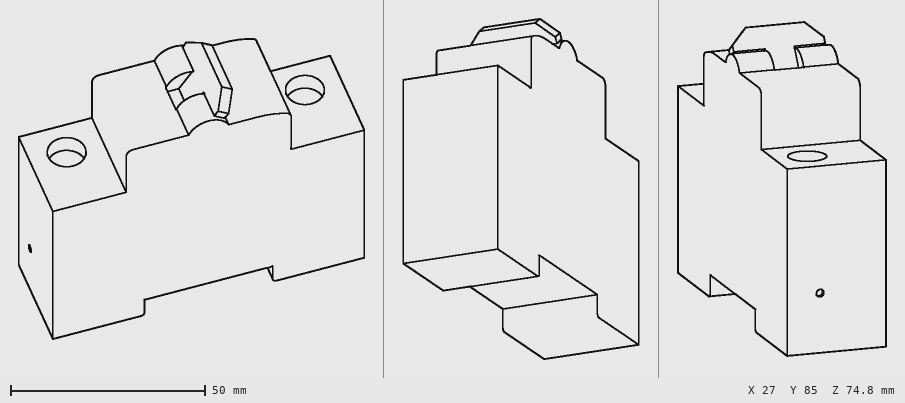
import cadquery as cq
import math

WIDTH = 27.0
LENGTH = 85.0
SHOULDER_HEIGHT = 50.0
NOSE_LENGTH = 45.0
NOSE_HEIGHT = 66.0
FRONT_FILLET = 2.0
REAR_FILLET = 1.75
CROWN_RADIUS = 20.0
CROWN_START_Y = 13.7

NOTCH_LENGTH = 35.0
NOTCH_DEPTH = 6.0
NOTCH_MOUTH_FILLET = 1.0

HOLE_X = -WIDTH / 2 + 9.0
SCREW_DIAMETER = 10.0
SCREW_DEPTH = 5.0
SCREW_END_DISTANCE = 10.0
PIN_DIAMETER = 2.0
PIN_DEPTH = 1.0
PIN_HEIGHT = 16.0

HUB_RADIUS = 6.0
HUB_RISE = 3.5
HUB_Z = NOSE_HEIGHT + HUB_RISE - HUB_RADIUS

OVERALL_HEIGHT = 74.83
LEVER_TILT = 35.0
LEVER_THICKNESS = 3.5
LEVER_FRONT_OFFSET = 2.0
STEM_WIDTH = 8.0
PADDLE_WIDTH = 25.0
PADDLE_LENGTH = 6.3
PADDLE_CHAMFER = 4.5
TILT = math.radians(LEVER_TILT)
LEVER_REACH = (OVERALL_HEIGHT - HUB_Z - LEVER_FRONT_OFFSET * math.sin(TILT)) / math.cos(TILT)

SLOT_FLOOR_Z = 64.0
SLOT_OVERRUN = 0.25
HUB_HALF_CHORD = math.sqrt(HUB_RADIUS**2 - (NOSE_HEIGHT - HUB_Z) ** 2)
SLOT_FRONT_Y = -HUB_HALF_CHORD - SLOT_OVERRUN


def side_extrusion(profile):
    """Extrude a closed (Y, Z) profile across the full width."""
    return profile.extrude(WIDTH / 2, both=True)


def make_housing():
    half_length = LENGTH / 2
    half_nose = NOSE_LENGTH / 2

    crown_z = NOSE_HEIGHT - CROWN_RADIUS
    center_gap = CROWN_RADIUS - REAR_FILLET
    fillet_y = half_nose - REAR_FILLET
    crown_angle = math.asin((fillet_y - CROWN_START_Y) / center_gap)
    fillet_z = crown_z + center_gap * math.cos(crown_angle)

    def crown_point(angle):
        return (CROWN_START_Y + CROWN_RADIUS * math.sin(angle), crown_z + CROWN_RADIUS * math.cos(angle))

    middle_angle = (crown_angle + math.pi / 2) / 2
    fillet_middle = (
        fillet_y + REAR_FILLET * math.sin(middle_angle),
        fillet_z + REAR_FILLET * math.cos(middle_angle),
    )

    profile = (
        cq.Workplane("YZ")
        .moveTo(-half_length, 0)
        .lineTo(half_length, 0)
        .lineTo(half_length, SHOULDER_HEIGHT)
        .lineTo(half_nose, SHOULDER_HEIGHT)
        .lineTo(half_nose, fillet_z)
        .threePointArc(fillet_middle, crown_point(crown_angle))
        .threePointArc(crown_point(crown_angle / 2), (CROWN_START_Y, NOSE_HEIGHT))
        .lineTo(-half_nose + FRONT_FILLET, NOSE_HEIGHT)
        .radiusArc((-half_nose, NOSE_HEIGHT - FRONT_FILLET), -FRONT_FILLET)
        .lineTo(-half_nose, SHOULDER_HEIGHT)
        .lineTo(-half_length, SHOULDER_HEIGHT)
        .close()
    )
    return side_extrusion(profile)


def cut_rail_notch(body):
    half_notch = NOTCH_LENGTH / 2
    notch = cq.Workplane("XY").box(WIDTH, NOTCH_LENGTH, NOTCH_DEPTH, centered=(True, True, False))
    body = body.cut(notch)
    for y in (-half_notch, half_notch):
        mouth_edge = cq.selectors.NearestToPointSelector((0, y, 0))
        body = body.edges(mouth_edge).fillet(NOTCH_MOUTH_FILLET)
    return body


def cut_screw_holes(body):
    screw_y = LENGTH / 2 - SCREW_END_DISTANCE
    holes = (
        cq.Workplane("XY", origin=(0, 0, SHOULDER_HEIGHT))
        .pushPoints([(HOLE_X, -screw_y), (HOLE_X, screw_y)])
        .circle(SCREW_DIAMETER / 2)
        .extrude(-SCREW_DEPTH)
    )
    return body.cut(holes)


def cut_pin_hole(body):
    hole = (
        cq.Workplane("XZ", origin=(HOLE_X, -LENGTH / 2, PIN_HEIGHT))
        .circle(PIN_DIAMETER / 2)
        .extrude(-PIN_DEPTH)
    )
    return body.cut(hole)


def add_hub(body):
    hub = side_extrusion(cq.Workplane("YZ", origin=(0, 0, HUB_Z)).circle(HUB_RADIUS))
    return body.union(hub)


def cut_lever_slot(body):
    """Clear the hub in front of the lever's leaning front face, down to a flat floor."""
    def lever_front_y(z):
        return (z - HUB_Z) * math.tan(TILT) - LEVER_FRONT_OFFSET / math.cos(TILT)

    hub_top = HUB_Z + HUB_RADIUS
    slot = (
        cq.Workplane("YZ")
        .polyline([
            (SLOT_FRONT_Y, SLOT_FLOOR_Z),
            (lever_front_y(SLOT_FLOOR_Z), SLOT_FLOOR_Z),
            (lever_front_y(hub_top), hub_top),
            (SLOT_FRONT_Y, hub_top),
        ])
        .close()
        .extrude(STEM_WIDTH / 2, both=True)
    )
    return body.cut(slot)


def make_lever():
    """T-shaped plate: a stem rising from the hub axis and a paddle with chamfered top corners."""
    half_stem = STEM_WIDTH / 2
    half_paddle = PADDLE_WIDTH / 2
    paddle_base = LEVER_REACH - PADDLE_LENGTH
    chamfer_base = LEVER_REACH - PADDLE_CHAMFER
    half_tip = half_paddle - PADDLE_CHAMFER
    lever = (
        cq.Workplane("XZ", origin=(0, -LEVER_FRONT_OFFSET, 0))
        .polyline([
            (-half_stem, 0),
            (half_stem, 0),
            (half_stem, paddle_base),
            (half_paddle, paddle_base),
            (half_paddle, chamfer_base),
            (half_tip, LEVER_REACH),
            (-half_tip, LEVER_REACH),
            (-half_paddle, chamfer_base),
            (-half_paddle, paddle_base),
            (-half_stem, paddle_base),
        ])
        .close()
        .extrude(-LEVER_THICKNESS)
    )
    return lever.rotate((0, 0, 0), (1, 0, 0), -LEVER_TILT).translate((0, 0, HUB_Z))


body = make_housing()
body = cut_rail_notch(body)
body = cut_screw_holes(body)
body = cut_pin_hole(body)
body = add_hub(body)
body = cut_lever_slot(body)
result = body.union(make_lever())